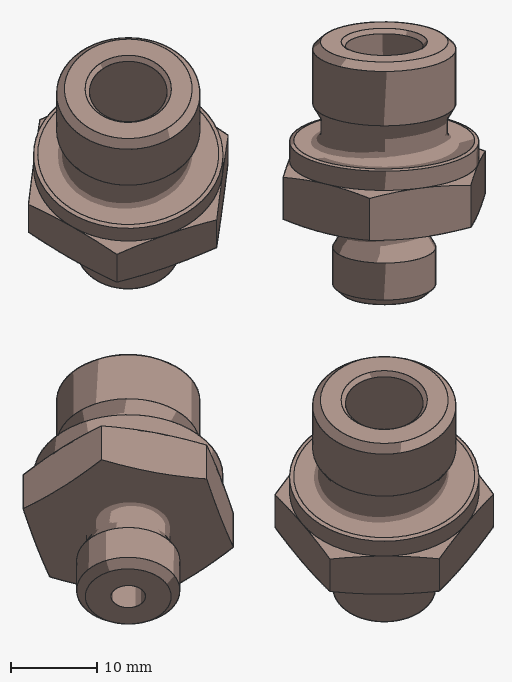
import cadquery as cq
import math

total_height = 30.5
hex_bottom = 9.95
collar_bottom = 15.98
collar_top = 18.45

hex_across_flats = 22.0
hex_corner_diameter = hex_across_flats / math.cos(math.radians(30))
hex_chamfer_angle = 15.0
collar_radius = hex_across_flats / 2
collar_edge_width = 0.5
collar_edge_height = 0.12
seat_outer_radius = collar_radius - collar_edge_width

runout_angle = math.radians(30)
runout_blend = 1.0

upper_radius = 16.65 / 2
upper_neck_radius = 14.7 / 2
upper_runout_top = 23.0
upper_chamfer_width = 0.9
upper_chamfer_height = 0.85
upper_root_fillet = 1.37
upper_root_top = 19.45
seat_bottom = upper_root_top - upper_root_fillet

lower_radius = 12.0 / 2
lower_neck_radius = 9.7 / 2
lower_runout_bottom = 5.43
lower_chamfer_width = 1.0
lower_chamfer_height = 0.9
lower_root_fillet = 0.95

bore_radius = 9.0 / 2
bore_mouth_radius = 5.0
passage_radius = 4.0 / 2
bore_floor = 13.72
drill_half_angle = math.radians(59)


def runout_points(stud_radius, neck_radius, start_z, direction):
    """Return the cone end, a point on the blend arc and the arc's end on the neck."""
    def blend_point(angle, arc_end_z):
        radius = neck_radius + runout_blend * (1 - math.cos(angle))
        return radius, arc_end_z - direction * runout_blend * math.sin(angle)

    cone_end_radius, _ = blend_point(runout_angle, start_z)
    cone_end_z = start_z + direction * (stud_radius - cone_end_radius) / math.tan(runout_angle)
    neck_z = cone_end_z + direction * runout_blend * math.sin(runout_angle)
    return (
        (cone_end_radius, cone_end_z),
        blend_point(runout_angle / 2, neck_z),
        (neck_radius, neck_z),
    )


def root_fillet_points(neck_radius, fillet, face_z, direction):
    """Return the neck end, middle and face end of a quarter arc at a stud root."""
    inset = fillet * (1 - math.sqrt(0.5))
    return (
        (neck_radius, face_z + direction * fillet),
        (neck_radius + inset, face_z + direction * inset),
        (neck_radius + fillet, face_z),
    )


def revolve(profile):
    return profile.close().revolve(360, (0, 0, 0), (0, 1, 0))


def make_turned_body():
    low_cone, low_blend, low_neck = runout_points(
        lower_radius, lower_neck_radius, lower_runout_bottom, 1)
    low_root, low_root_mid, low_face = root_fillet_points(
        lower_neck_radius, lower_root_fillet, hex_bottom, -1)
    up_cone, up_blend, up_neck = runout_points(
        upper_radius, upper_neck_radius, upper_runout_top, -1)
    up_root, up_root_mid, up_face = root_fillet_points(
        upper_neck_radius, upper_root_fillet, seat_bottom, 1)
    return revolve(
        cq.Workplane("XZ")
        .moveTo(0, 0)
        .lineTo(lower_radius - lower_chamfer_width, 0)
        .lineTo(lower_radius, lower_chamfer_height)
        .lineTo(lower_radius, lower_runout_bottom)
        .lineTo(*low_cone)
        .threePointArc(low_blend, low_neck)
        .lineTo(*low_root)
        .threePointArc(low_root_mid, low_face)
        .lineTo(collar_radius, hex_bottom)
        .lineTo(collar_radius, collar_top - collar_edge_height)
        .lineTo(seat_outer_radius, collar_top)
        .lineTo(*up_face)
        .threePointArc(up_root_mid, up_root)
        .lineTo(*up_neck)
        .threePointArc(up_blend, up_cone)
        .lineTo(upper_radius, upper_runout_top)
        .lineTo(upper_radius, total_height - upper_chamfer_height)
        .lineTo(upper_radius - upper_chamfer_width, total_height)
        .lineTo(0, total_height)
    )


def make_hexagon():
    """Hexagon with corners on Y, its corners chamfered above and below."""
    prism = (
        cq.Workplane("XY", origin=(0, 0, hex_bottom))
        .transformed(rotate=(0, 0, 90))
        .polygon(6, hex_corner_diameter)
        .extrude(collar_bottom - hex_bottom)
    )
    corner_radius = hex_corner_diameter / 2
    corner_drop = (corner_radius - collar_radius) * math.tan(math.radians(hex_chamfer_angle))
    envelope = revolve(
        cq.Workplane("XZ")
        .moveTo(0, hex_bottom)
        .lineTo(collar_radius, hex_bottom)
        .lineTo(corner_radius, hex_bottom + corner_drop)
        .lineTo(corner_radius, collar_bottom - corner_drop)
        .lineTo(collar_radius, collar_bottom)
        .lineTo(0, collar_bottom)
    )
    return prism.intersect(envelope)


def make_bore():
    mouth_depth = bore_mouth_radius - bore_radius
    cone_height = (bore_radius - passage_radius) / math.tan(drill_half_angle)
    return revolve(
        cq.Workplane("XZ")
        .moveTo(0, 0)
        .lineTo(passage_radius, 0)
        .lineTo(passage_radius, bore_floor - cone_height)
        .lineTo(bore_radius, bore_floor)
        .lineTo(bore_radius, total_height - mouth_depth)
        .lineTo(bore_mouth_radius, total_height)
        .lineTo(0, total_height)
    )


result = make_turned_body().union(make_hexagon()).cut(make_bore())